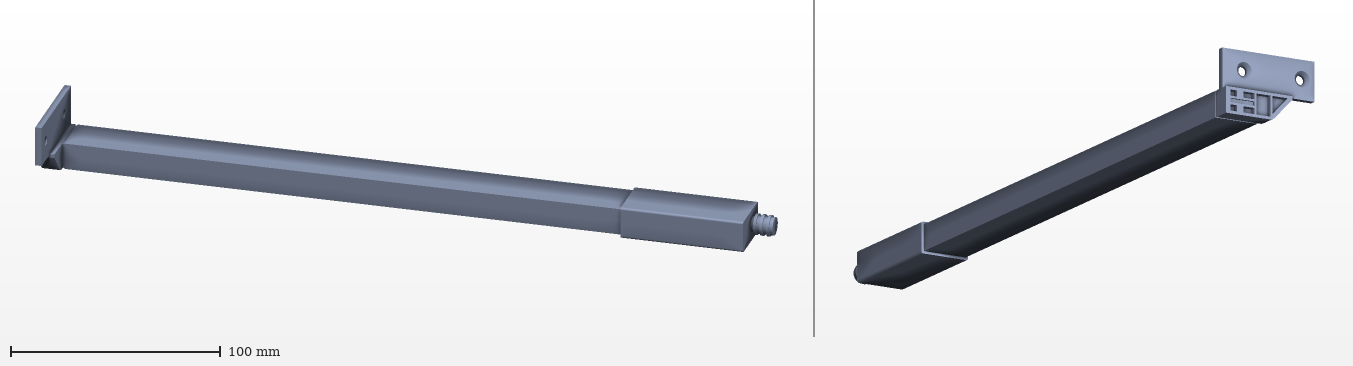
import cadquery as cq


total_length = 358.2
total_height = 34.5
total_width = 52.3

sleeve_start = 286.2
sleeve_end = 347.0
sleeve_width = 25.8
sleeve_height = 15.8
sleeve_edge_radius = 1.0

neck_diameter = 7.5
core_diameter = 9.0
ring_diameter = 10.5
ring_count = 3
ring_thickness = 1.5
ring_pitch = 3.2
neck_length = 1.5
nipple_offset = 4.0

bar_width = 23.0
bar_height = 13.3
bar_insertion = 10.7

bracket_depth = 9.0
bracket_top_width = 36.5
bracket_base_width = 25.8
bracket_lip_height = 1.8
bracket_corner_radius = 4.3
bracket_wall = 1.5
slanted_wall_offset = 3.0
back_wall = 2.5
pocket_depth = 3.0

cross_rib_start = 6.0
cross_rib_end = 9.5
rib_centers = (16.0, 25.0)
rib_thickness = 1.0
middle_bar_height = 4.3
groove_height = 2.0
groove_depth = 1.0

flange_neck_length = 1.0
flange_neck_inset = 0.5
collar_length = 1.0

plate_start = 3.5
plate_thickness = 3.2
hole_diameter = 4.5
countersink_diameter = 8.2
countersink_angle = 90
hole_pitch = 32.0
hole_edge_distance = 6.8
hole_drop = 9.5

sleeve_length = sleeve_end - sleeve_start
bar_back = (bar_width - sleeve_width) / 2
bar_center_y = -sleeve_width / 2
bar_center_z = sleeve_height / 2
bar_bottom = bar_center_z - bar_height / 2
bar_top = bar_bottom + bar_height
collar_start = bracket_depth + flange_neck_length
bar_start = collar_start + collar_length
plate_width = total_width + bar_back
plate_height = total_height - bar_top


def box(x, back, bottom, length, width, height):
    """Box reaching from (x, back, bottom) toward +X, -Y and +Z."""
    block = cq.Workplane("XY").box(length, width, height, centered=False)
    return block.translate((x, back - width, bottom))


def cylinder(x, y, z, diameter, length):
    """Cylinder along +X whose first end is centred on (x, y, z)."""
    return cq.Workplane("YZ", origin=(x, y, z)).circle(diameter / 2).extrude(length)


def make_bar():
    length = sleeve_start + bar_insertion - bar_start
    return box(bar_start, bar_back, bar_bottom, length, bar_width, bar_height)


def make_nipple():
    y = bar_center_y + nipple_offset
    core_start = sleeve_end + neck_length
    nipple = cylinder(sleeve_end, y, bar_center_z, neck_diameter, neck_length)
    core = cylinder(core_start, y, bar_center_z, core_diameter, total_length - core_start)
    nipple = nipple.union(core)
    for i in range(ring_count):
        ring_start = core_start + i * ring_pitch
        nipple = nipple.union(cylinder(ring_start, y, bar_center_z, ring_diameter, ring_thickness))
    return nipple


def make_sleeve():
    """Sleeve with rounded long edges, a socket for the bar and the nipple."""
    sleeve = box(sleeve_start, 0, 0, sleeve_length, sleeve_width, sleeve_height)
    sleeve = sleeve.edges("|X").fillet(sleeve_edge_radius)
    return sleeve.cut(make_bar()).union(make_nipple())


def make_plate():
    """Upright plate with two holes countersunk from the -X face."""
    plate = box(plate_start, bar_back, bar_top, plate_thickness, plate_width, plate_height)
    front_hole_y = -total_width + hole_edge_distance
    hole_z = total_height - hole_drop
    return (
        plate.faces("<X")
        .workplane(origin=(plate_start, 0, 0))
        .pushPoints([(-front_hole_y, hole_z), (-front_hole_y - hole_pitch, hole_z)])
        .cskHole(hole_diameter, countersink_diameter, countersink_angle)
    )


def bracket_body():
    """Solid block whose front side slants inward toward its underside."""
    front_y = bar_back - bracket_top_width
    outline = [
        (bar_back, bar_bottom),
        (bar_back - bracket_base_width, bar_bottom),
        (front_y, bar_top - bracket_lip_height),
        (front_y, bar_top),
        (bar_back, bar_top),
    ]
    body = cq.Workplane("YZ").polyline(outline).close().extrude(bracket_depth)
    return body.edges("|X").edges("<Z").edges("<Y").fillet(bracket_corner_radius)


def bracket_cavity():
    """Recess in the end face, running parallel to the slanted side."""
    slope = (bracket_top_width - bracket_base_width) / (bar_height - bracket_lip_height)
    floor = bar_bottom + bracket_wall
    ceiling = bar_top - bracket_wall
    floor_front = bar_back - bracket_base_width - slope * bracket_wall + slanted_wall_offset
    ceiling_front = floor_front - slope * (ceiling - floor)
    back = bar_back - back_wall
    outline = [(back, floor), (floor_front, floor), (ceiling_front, ceiling), (back, ceiling)]
    return cq.Workplane("YZ").polyline(outline).close().extrude(pocket_depth)


def upright_rib(start, end):
    """Rib as high as the block between two distances from the back."""
    return box(0, bar_back - start, bar_bottom, pocket_depth, end - start, bar_height)


def bracket_ribs():
    """Upright ribs, and a grooved level bar crossing the first of them."""
    ribs = upright_rib(cross_rib_start, cross_rib_end)
    for center in rib_centers:
        ribs = ribs.union(upright_rib(center - rib_thickness / 2, center + rib_thickness / 2))
    middle_length = rib_centers[0]
    middle_bottom = bar_center_z - middle_bar_height / 2
    ribs = ribs.union(box(0, bar_back, middle_bottom, pocket_depth, middle_length, middle_bar_height))
    groove_length = rib_centers[0] - rib_thickness / 2 - back_wall
    groove_bottom = bar_center_z - groove_height / 2
    groove_back = bar_back - back_wall
    return ribs.cut(box(0, groove_back, groove_bottom, groove_depth, groove_length, groove_height))


def bracket_flange():
    neck = box(
        bracket_depth,
        bar_back - flange_neck_inset,
        bar_bottom + flange_neck_inset,
        flange_neck_length,
        bar_width - 2 * flange_neck_inset,
        bar_height - 2 * flange_neck_inset,
    )
    return neck.union(box(collar_start, bar_back, bar_bottom, collar_length, bar_width, bar_height))


def make_bracket():
    hollow = bracket_cavity().cut(bracket_ribs())
    return bracket_body().cut(hollow).union(bracket_flange())


bar = make_bar()
sleeve = make_sleeve()
plate = make_plate()
bracket = make_bracket()
result = cq.Compound.makeCompound([bar.val(), sleeve.val(), plate.val(), bracket.val()])